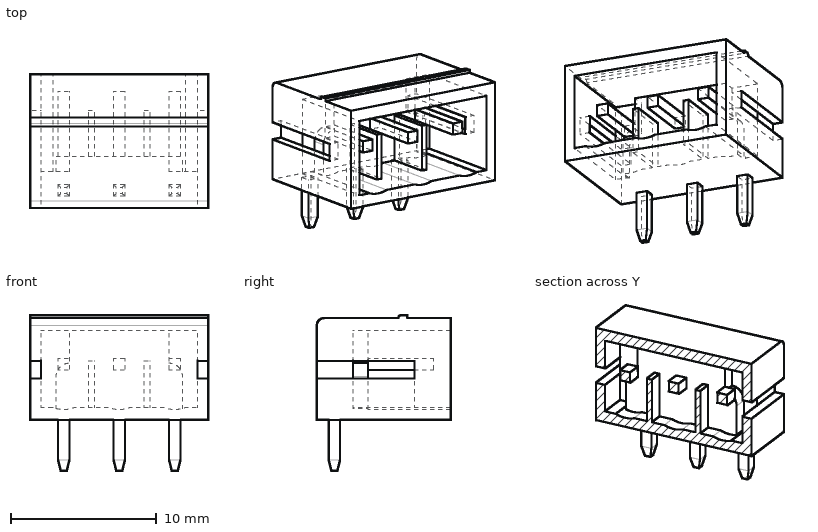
import cadquery as cq
import math


width = 12.22
depth = 9.2
height = 7.0
front_radius = 0.5

ridge_back = 6.23
ridge_width = 0.63
ridge_height = 0.2

side_wall = 0.73
floor_z = 0.85
ceiling_z = height - floor_z
cavity_front = 2.5
cavity_width = width - 2 * side_wall

slot_bottom = 2.85
slot_height = 1.21
slot_back = 6.7

pin_count = 3
pin_pitch = 3.81
pin_size = 0.8
pin_tip_size = 0.42
pin_center_y = 1.21
tail_length = 3.5
taper_length = 0.77
contact_bottom = 3.43
contact_end = 8.0

ledge_back = 3.53
ledge_inset = 1.04
ledge_shoulder_z = 2.98
ledge_radius = 0.92

divider_width = 0.4
divider_top = slot_bottom + slot_height

groove_radius = 2.0
groove_half_width = 0.72

pin_positions = [(i - (pin_count - 1) / 2) * pin_pitch for i in range(pin_count)]
divider_positions = [x + pin_pitch / 2 for x in pin_positions[:-1]]


def box(x_center, x_size, y_min, y_max, z_min, z_max):
    """Box centred on x_center, between the given Y and Z limits."""
    return cq.Workplane("XY").box(x_size, y_max - y_min, z_max - z_min).translate(
        (x_center, (y_min + y_max) / 2, (z_min + z_max) / 2)
    )


def make_housing():
    block = box(0, width, 0, depth, 0, height)
    return block.edges("|X and >Z and <Y").fillet(front_radius)


def make_ridge():
    ridge_front = ridge_back - ridge_width
    ridge_top = height + ridge_height
    bulge = ridge_height * math.sqrt(0.5)
    return (
        cq.Workplane("YZ")
        .moveTo(ridge_front, height)
        .threePointArc(
            (ridge_front + ridge_height - bulge, height + bulge),
            (ridge_front + ridge_height, ridge_top),
        )
        .lineTo(ridge_back, ridge_top)
        .lineTo(ridge_back, height)
        .close()
        .extrude(width / 2, both=True)
    )


def make_cavity():
    cavity = box(0, cavity_width, cavity_front, depth, floor_z, ceiling_z)
    groove_axis_z = floor_z + math.sqrt(groove_radius**2 - groove_half_width**2)
    for x in pin_positions:
        groove_round = (
            cq.Workplane("XZ", origin=(x, depth, groove_axis_z))
            .circle(groove_radius)
            .extrude(depth - cavity_front)
        )
        groove_limit = box(x, 2 * groove_half_width, cavity_front, depth, 0, ceiling_z)
        cavity = cavity.union(groove_round.intersect(groove_limit))
    return cavity


def make_slot(side):
    """Slot in the -X (side = -1) or +X (side = 1) wall, open at the front."""
    x_center = side * (width - side_wall) / 2
    return box(x_center, side_wall, 0, slot_back, slot_bottom, slot_bottom + slot_height)


def make_ledge():
    """Ledge with round shoulders, stepped in to a narrower web that reaches the ceiling."""
    ledge_width = cavity_width - 2 * ledge_inset
    web_width = ledge_width - 2 * ledge_radius
    ledge_top = ledge_shoulder_z + ledge_radius
    ledge = box(0, ledge_width, cavity_front, ledge_back, 0, ledge_top)
    web = box(0, web_width, cavity_front, ledge_back, 0, ceiling_z)
    return ledge.edges("|Y and >Z").fillet(ledge_radius).union(web)


def make_divider(x):
    return box(x, divider_width, cavity_front, slot_back, 0, divider_top)


def make_pin(x):
    """Square board tail with a tapered end, and a square contact inside the cavity."""
    taper_top = taper_length - tail_length
    tail = box(x, pin_size, pin_center_y - pin_size / 2, pin_center_y + pin_size / 2, taper_top, floor_z)
    taper = (
        cq.Workplane("XY", origin=(x, pin_center_y, taper_top))
        .rect(pin_size, pin_size)
        .workplane(offset=-taper_length)
        .rect(pin_tip_size, pin_tip_size)
        .loft()
    )
    contact = box(x, pin_size, ledge_back, contact_end, contact_bottom, contact_bottom + pin_size)
    return tail.union(taper).union(contact)


result = make_housing().union(make_ridge()).cut(make_cavity())
for side in (-1, 1):
    result = result.cut(make_slot(side))
result = result.union(make_ledge())
for x in divider_positions:
    result = result.union(make_divider(x))
for x in pin_positions:
    result = result.union(make_pin(x))